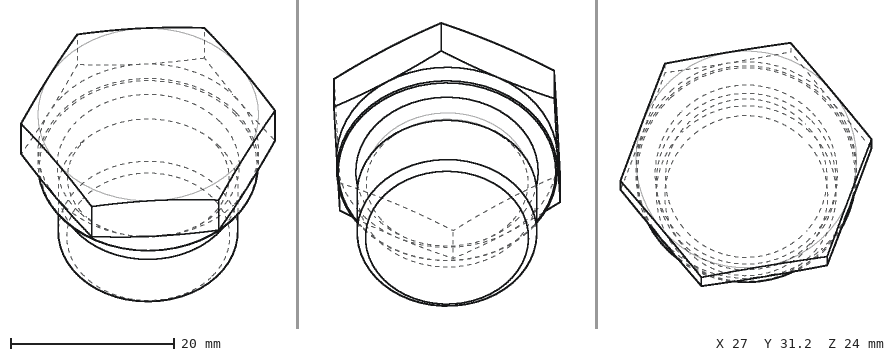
import cadquery as cq
import math

across_corners = 31.18
across_flats = across_corners * math.cos(math.pi / 6)
total_height = 24.0
head_height = 7.0
head_bevel_angle = math.radians(15)

collar_radius = across_flats / 2
collar_height = 3.02
collar_chamfer = 0.2

shank_radius = 22.0 / 2
shank_top = 9.32
end_chamfer = 1.03
groove_top_radius = 11.15
groove_corner_radius = 9.7
groove_round_radius = 1.3
groove_slope = math.radians(60)

head_bottom = total_height - head_height
collar_bottom = head_bottom - collar_height
groove_corner_z = shank_top + (shank_radius - groove_corner_radius) * math.tan(groove_slope)


def make_head():
    """Hexagonal prism with two corners on the Y axis and conical bevels on both ends."""
    prism = (
        cq.Workplane("XY", origin=(0, 0, head_bottom))
        .polygon(6, across_corners)
        .extrude(head_height)
        .rotate((0, 0, 0), (0, 0, 1), 90)
    )
    corner_radius = across_corners / 2
    bevel_drop = (corner_radius - collar_radius) * math.tan(head_bevel_angle)
    envelope = (
        cq.Workplane("XZ")
        .moveTo(0, head_bottom)
        .lineTo(collar_radius, head_bottom)
        .lineTo(corner_radius, head_bottom + bevel_drop)
        .lineTo(corner_radius, total_height - bevel_drop)
        .lineTo(collar_radius, total_height)
        .lineTo(0, total_height)
        .close()
        .revolve(360, (0, 0, 0), (0, 1, 0))
    )
    return prism.intersect(envelope)


def make_collar():
    return (
        cq.Workplane("XY", origin=(0, 0, collar_bottom))
        .circle(collar_radius)
        .extrude(collar_height)
        .faces("<Z")
        .chamfer(collar_chamfer)
    )


def make_shank():
    """Revolved shank: end chamfer, cylinder and relief groove up to the collar."""
    round_setback = groove_round_radius / math.tan(groove_slope)
    round_dr = round_setback * math.cos(groove_slope)
    round_dz = round_setback * math.sin(groove_slope)
    throat_offset = groove_round_radius * (1 / math.sin(groove_slope) - 1)
    return (
        cq.Workplane("XZ")
        .lineTo(shank_radius - end_chamfer, 0)
        .lineTo(shank_radius, end_chamfer)
        .lineTo(shank_radius, shank_top)
        .lineTo(groove_corner_radius + round_dr, groove_corner_z - round_dz)
        .threePointArc(
            (groove_corner_radius + throat_offset, groove_corner_z),
            (groove_corner_radius + round_dr, groove_corner_z + round_dz),
        )
        .lineTo(groove_top_radius, collar_bottom)
        .lineTo(0, collar_bottom)
        .close()
        .revolve(360, (0, 0, 0), (0, 1, 0))
    )


result = make_head().union(make_collar()).union(make_shank())